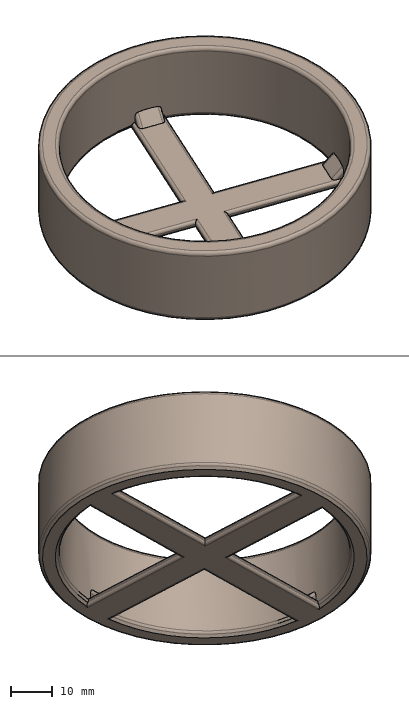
import cadquery as cq

outer_diameter = 80.0
inner_diameter = 70.0
ring_height = 22.0
rim_round = 1.0
foot_chamfer = 1.0
foot_blend = 1.0

spoke_width = 8.6
spoke_thickness = 2.0
spoke_round = 0.8

gusset_width = spoke_width - 2 * spoke_round
gusset_length = 3.0
gusset_height = 3.0
gusset_round = 0.9

outer_radius = outer_diameter / 2
inner_radius = inner_diameter / 2
wall_middle = (outer_radius + inner_radius) / 2


def make_ring():
    """Ring with a rounded top rim and a chamfered foot blended into both walls."""
    ring = cq.Workplane("XY").circle(outer_radius).circle(inner_radius).extrude(ring_height)
    ring = ring.faces(">Z").edges().fillet(rim_round)
    ring = ring.faces("<Z").edges().chamfer(foot_chamfer)
    foot_middle = cq.selectors.BoxSelector(
        (-outer_diameter, -outer_diameter, foot_chamfer / 2),
        (outer_diameter, outer_diameter, ring_height / 2),
    )
    return ring.edges("%CIRCLE").edges(foot_middle).fillet(foot_blend)


def make_cross():
    """Two crossing spokes with rounded long edges, ending inside the ring wall."""
    spoke_length = 2 * wall_middle
    along_x = cq.Workplane("XY").rect(spoke_length, spoke_width).extrude(spoke_thickness)
    along_y = cq.Workplane("XY").rect(spoke_width, spoke_length).extrude(spoke_thickness)
    cross = along_x.union(along_y)
    long_edges = cross.faces("|Z").edges(cq.selectors.LengthNthSelector(-1))
    return long_edges.fillet(spoke_round)


def make_gusset():
    """Wedge on the +X spoke whose sloped face has rounded side edges."""
    slope = gusset_height / gusset_length
    back_height = gusset_height + slope * (wall_middle - inner_radius)
    wedge = (
        cq.Workplane("XZ")
        .moveTo(inner_radius - gusset_length, spoke_thickness)
        .lineTo(wall_middle, spoke_thickness + back_height)
        .lineTo(wall_middle, spoke_thickness)
        .close()
        .extrude(gusset_width / 2, both=True)
    )
    slope_sides = wedge.edges("not(#Z or |Z)")
    return slope_sides.fillet(gusset_round)


result = make_ring().union(make_cross())
gusset = make_gusset()
for quarter in range(4):
    angle = 90 * quarter
    result = result.union(gusset.rotate((0, 0, 0), (0, 0, 1), angle))